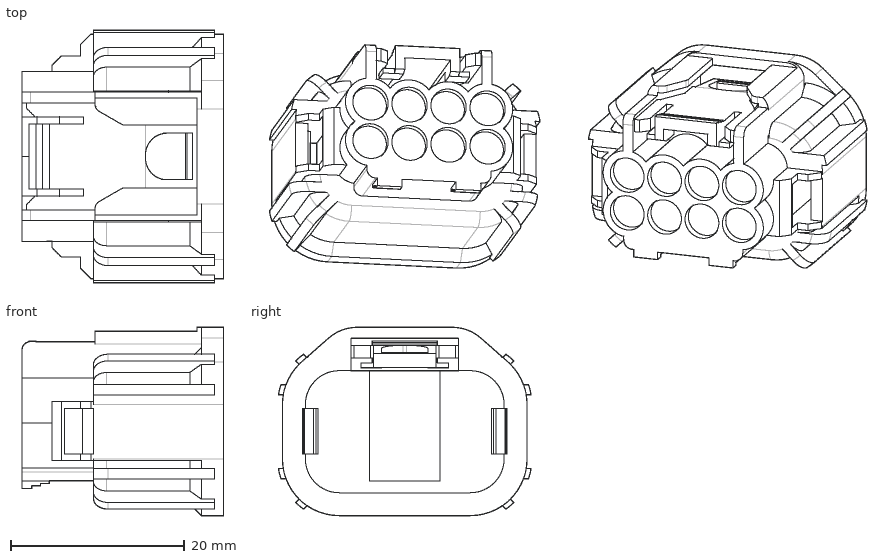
import cadquery as cq
import math


LENGTH = 23.25
SHOULDER_X = 8.25
RIM_X = 20.7
FIN_END_X = 22.2
RAIL_X = 8.42
BAR_X = 20.17

HALF_WIDTH = 14.1
CORNER_R = 6.55
LOWER_CORNER_Z = CORNER_R
UPPER_CORNER_Z = 12.83
CORNER_Y = HALF_WIDTH - CORNER_R
MID_Z = (LOWER_CORNER_Z + UPPER_CORNER_Z) / 2
BODY_INSET = 1.35
BODY_ROUND = 1.52
FIN_ROUND = 1.7
FIN_THICKNESS = 1.2
FIN_REACH = 11.65

TOP_Z = 21.75
ROOF_SLOPE = math.radians(41.5)

PITCH = 4.58
TUBE_R = 2.95
HOLE_R = 2.07
HOLE_DEPTH = 1.15
LOWER_ROW_Z = 8.4
ROW_Z = (LOWER_ROW_Z, LOWER_ROW_Z + PITCH)
COLUMN_Y = [PITCH * (i - 1.5) for i in range(4)]
BASE_Z = 4.02
BASE_HALF = 7.3
BASE_CORNER_R = 1.02
PAD_INNER_Y = 3.15
PAD_OUTER_Y = 6.05
PAD_STEPS = ((1.17, 3.12), (2.15, 3.45), (3.18, 3.7))

WALL_OUTER = 7.4
WALL_INNER = 6.18
ARCH_R = 1.92
ROOF_FLAT_HALF = WALL_OUTER - ARCH_R
FLOOR_Z = 16.73
UPRIGHT_Z = 20.08
UPRIGHT_ROUND = 1.0
RAIL_UNDER_Z = 20.45
RAIL_TOP_Z = 21.28
RAIL_GAP_HALF = 3.61
RAIL_CORNERS = ((RAIL_X, 5.48), (11.65, RAIL_GAP_HALF))
RAIL_CORNER_R = 1.0

PLATE_TOP_Z = 19.65
PLATE_UNDER_Z = 18.15
PLATE_FRONT_X = 0.52
PLATE_CORNER = 1.0
PLATE_OVERLAP = 0.35
TONGUE_FRONT_X = 0.82
TONGUE_HALF = 3.75
SLOT_OUTER = 4.58
SLOT_END_X = 7.08
RIDGE_WIDTH = 0.8
RIDGE_RISE = 0.17
RIDGE_COUNT = 3
LEG_UNDER_Z = 17.37
GROOVE_HALF = 2.68
GROOVE_TOP_Z = 18.75
CROSSBAR_X = (1.72, 4.3)
CROSSBAR_Z = (17.05, 17.65)
CROSSBAR_HALF = 5.07
TAIL_X = 14.25
TAIL_END_X = 20.52
TAIL_HALF = RAIL_GAP_HALF
TAIL_END_TOP_Z = 18.7
TAIL_UNDER_Z = 17.08
WINDOW_BACK_X = 19.03
WINDOW_BACK_LEAN = 0.17
WINDOW_R = 2.48
LEDGE_BACK_X = 19.68

GAP_X = 16.9
GAP_INSET = UPPER_CORNER_Z + CORNER_R - FLOOR_Z
CORE_HALF = 4.08
CORE_END_X = 21.85

TOTAL_WIDTH = 29.15
CLIP_Z = (6.35, 13.15)
PANEL_TOP_Z = 13.93
FIN_STANDOFF = math.hypot(TOTAL_WIDTH / 2 - CORNER_Y, PANEL_TOP_Z - UPPER_CORNER_Z) - CORNER_R
CLIP_FRONT_X = 3.47
CLIP_FRONT_BEVEL = 1.08
CLIP_SHOULDER_X = 6.73
CLIP_REAR_BEVEL = 1.22
CLIP_Y = 11.6
CLIP_WINDOW_Z = (7.15, 12.35)
CLIP_WINDOW_X = 4.93
CLIP_STEP_X = 7.0
CHANNEL_STEPS = ((CLIP_WINDOW_X, 10.52), (CLIP_STEP_X, 10.23), (SHOULDER_X, 10.03))
CHANNEL_OUTER_Y = 11.75
TOOTH_Y = 12.68
TOOTH_X = 11.65


def block(x, y, z):
    """Box from (low, high) pairs."""
    size = [high - low for low, high in (x, y, z)]
    return cq.Workplane("XY").box(*size, centered=False).translate((x[0], y[0], z[0]))


def both_sides(shape):
    return shape.union(shape.mirror("XZ"))


def hull(inset, x0, x1):
    """Rounded outline, moved inwards by `inset`, run from x0 to x1."""
    half = HALF_WIDTH - inset
    z_range = (LOWER_CORNER_Z - CORNER_R + inset, UPPER_CORNER_Z + CORNER_R - inset)
    return block((x0, x1), (-half, half), z_range).edges("|X").fillet(CORNER_R - inset)


def tube_cylinders(radius, depth):
    """One cylinder per tube, starting at the terminal face."""
    centres = [(y, z) for y in COLUMN_Y for z in ROW_Z]
    return [cq.Workplane("YZ").center(y, z).circle(radius).extrude(depth) for y, z in centres]


def make_tubes():
    fill_half = COLUMN_Y[-1]
    tubes = block((0, SHOULDER_X), (-fill_half, fill_half), ROW_Z)
    base = block((0, SHOULDER_X), (-BASE_HALF, BASE_HALF), (BASE_Z, ROW_Z[0]))
    tubes = tubes.union(base.edges("|X and <Z").fillet(BASE_CORNER_R))
    for cylinder in tube_cylinders(TUBE_R, SHOULDER_X):
        tubes = tubes.union(cylinder)
    for end_x, under_z in PAD_STEPS:
        tubes = tubes.union(both_sides(block((0, end_x), (PAD_INNER_Y, PAD_OUTER_Y), (under_z, BASE_Z))))
    return tubes


def make_body():
    body = hull(BODY_INSET, SHOULDER_X, LENGTH).faces("<X").edges().fillet(BODY_ROUND)
    flare = hull(0, RIM_X - BODY_INSET, LENGTH).faces("<X").chamfer(BODY_INSET)
    floor = block((SHOULDER_X, RIM_X), (-CORNER_Y, CORNER_Y), (UPPER_CORNER_Z, FLOOR_Z))
    trough = block((SHOULDER_X, RIM_X), (-CORNER_Y, CORNER_Y), (FLOOR_Z, TOP_Z))
    return body.union(flare).union(floor).cut(trough)


def make_roof():
    """Part of the rim that rises above the rounded outline, with sloping shoulders."""
    sin, cos = math.sin(ROOF_SLOPE), math.cos(ROOF_SLOPE)
    half_sin, half_cos = math.sin(ROOF_SLOPE / 2), math.cos(ROOF_SLOPE / 2)
    rise = (CORNER_Y - ROOF_FLAT_HALF) * sin + (UPPER_CORNER_Z - TOP_Z) * cos + CORNER_R
    roof_r = rise / (1 - cos)
    roof_z = TOP_Z - roof_r
    shoulder = (ROOF_FLAT_HALF + roof_r * sin, roof_z + roof_r * cos)
    shoulder_mid = (ROOF_FLAT_HALF + roof_r * half_sin, roof_z + roof_r * half_cos)
    eave = (CORNER_Y + CORNER_R * sin, UPPER_CORNER_Z + CORNER_R * cos)
    half_roof = (
        cq.Workplane("YZ", origin=(RIM_X, 0, 0))
        .moveTo(0, UPPER_CORNER_Z)
        .lineTo(0, TOP_Z)
        .lineTo(ROOF_FLAT_HALF, TOP_Z)
        .threePointArc(shoulder_mid, shoulder)
        .lineTo(*eave)
        .lineTo(CORNER_Y, UPPER_CORNER_Z)
        .close()
        .extrude(LENGTH - RIM_X)
    )
    return both_sides(half_roof)


def rail_gap_prism(end_x, z_range, margin=0.0):
    """Space between the two rails, wide at the front, widened by `margin` on each side."""
    one_side = [(x, y + margin) for x, y in (*RAIL_CORNERS, (end_x, RAIL_GAP_HALF))]
    other_side = [(x, -y) for x, y in reversed(one_side)]
    outline = cq.Workplane("XY", origin=(0, 0, z_range[0])).polyline(one_side + other_side).close()
    return outline.extrude(z_range[1] - z_range[0])


def make_arch():
    arch = block((RAIL_X, LENGTH), (-WALL_OUTER, WALL_OUTER), (ROW_Z[1], TOP_Z))
    arch = arch.edges("|X and >Z").fillet(ARCH_R)
    above_rails = block((RAIL_X, BAR_X), (-WALL_OUTER, WALL_OUTER), (RAIL_TOP_Z, TOP_Z))
    rail_gap = rail_gap_prism(BAR_X, (RAIL_UNDER_Z, TOP_Z))
    upright = block((0, RAIL_X), (WALL_INNER, WALL_OUTER), (ROW_Z[1], UPRIGHT_Z))
    upright = upright.edges("<X and >Z").fillet(UPRIGHT_ROUND)
    arch = arch.cut(above_rails).cut(rail_gap)
    for x, half_gap in RAIL_CORNERS:
        for y in (-half_gap, half_gap):
            corner = cq.selectors.BoxSelector((x - 0.3, y - 0.3, RAIL_UNDER_Z), (x + 0.3, y + 0.3, RAIL_TOP_Z))
            arch = arch.edges("|Z").edges(corner).fillet(RAIL_CORNER_R)
    return arch.union(both_sides(upright))


def make_latch():
    plate_z = (PLATE_UNDER_Z, PLATE_TOP_Z)
    plate = block((PLATE_FRONT_X, RAIL_X), (-WALL_INNER, WALL_INNER), plate_z)
    plate = plate.union(rail_gap_prism(TAIL_X, plate_z, PLATE_OVERLAP))
    mouth = (
        cq.Workplane("XY", origin=(0, 0, PLATE_UNDER_Z))
        .polyline([
            (PLATE_FRONT_X, -SLOT_OUTER - PLATE_CORNER),
            (PLATE_FRONT_X + PLATE_CORNER, -SLOT_OUTER),
            (SLOT_END_X, -SLOT_OUTER),
            (SLOT_END_X, SLOT_OUTER),
            (PLATE_FRONT_X + PLATE_CORNER, SLOT_OUTER),
            (PLATE_FRONT_X, SLOT_OUTER + PLATE_CORNER),
        ])
        .close()
        .extrude(PLATE_TOP_Z - PLATE_UNDER_Z)
    )
    tongue_y = (-TONGUE_HALF, TONGUE_HALF)
    latch = plate.cut(mouth)
    latch = latch.union(block((TONGUE_FRONT_X, SLOT_END_X), tongue_y, plate_z))
    for i in range(RIDGE_COUNT):
        ridge_x = (TONGUE_FRONT_X, TONGUE_FRONT_X + RIDGE_WIDTH * (i + 1))
        ridge_top = PLATE_TOP_Z + RIDGE_RISE * (RIDGE_COUNT - i)
        latch = latch.union(block(ridge_x, tongue_y, (PLATE_TOP_Z, ridge_top)))
    legs = (
        cq.Workplane("XZ", origin=(0, TONGUE_HALF, 0))
        .polyline([
            (TONGUE_FRONT_X, PLATE_UNDER_Z),
            (TONGUE_FRONT_X, LEG_UNDER_Z),
            (CROSSBAR_X[0], CROSSBAR_Z[0]),
            (CROSSBAR_X[1], CROSSBAR_Z[0]),
            (CROSSBAR_X[1], PLATE_UNDER_Z),
        ])
        .close()
        .extrude(2 * TONGUE_HALF)
    )
    latch = latch.union(legs)
    latch = latch.union(block(CROSSBAR_X, (-CROSSBAR_HALF, CROSSBAR_HALF), CROSSBAR_Z))

    tail = (
        cq.Workplane("XZ", origin=(0, TAIL_HALF, 0))
        .polyline([
            (TAIL_X, PLATE_UNDER_Z),
            (WINDOW_BACK_X, TAIL_UNDER_Z),
            (TAIL_END_X, TAIL_UNDER_Z),
            (TAIL_END_X, TAIL_END_TOP_Z),
            (TAIL_X, PLATE_TOP_Z),
        ])
        .close()
        .extrude(2 * TAIL_HALF)
    )
    groove_y = (-GROOVE_HALF, GROOVE_HALF)
    window = block((TAIL_X, WINDOW_BACK_X), groove_y, (GROOVE_TOP_Z, PLATE_TOP_Z))
    window = window.edges("|Z and <X").fillet(WINDOW_R)
    ledge = block((WINDOW_BACK_X, LEDGE_BACK_X), groove_y, (GROOVE_TOP_Z, PLATE_TOP_Z))
    groove = (
        cq.Workplane("XZ", origin=(0, GROOVE_HALF, 0))
        .polyline([
            (TONGUE_FRONT_X, CROSSBAR_Z[0]),
            (WINDOW_BACK_X - WINDOW_BACK_LEAN, CROSSBAR_Z[0]),
            (WINDOW_BACK_X, GROOVE_TOP_Z),
            (TONGUE_FRONT_X, GROOVE_TOP_Z),
        ])
        .close()
        .extrude(2 * GROOVE_HALF)
    )
    return latch.union(tail).cut(window).cut(ledge).cut(groove)


def make_fins():
    fins_outline = hull(-FIN_STANDOFF, SHOULDER_X, FIN_END_X)
    rounded = fins_outline.faces("<X").edges().fillet(FIN_ROUND)
    fin_x = (SHOULDER_X, FIN_END_X)

    diagonal = block(fin_x, (0, FIN_REACH), (0, FIN_THICKNESS))
    upper = diagonal.rotate((0, 0, 0), (1, 0, 0), 45).translate((0, CORNER_Y, UPPER_CORNER_Z))
    lower = upper.mirror("XY", (0, 0, MID_Z))

    flat_y = (CORNER_Y, HALF_WIDTH + FIN_STANDOFF)
    flat_upper = block(fin_x, flat_y, (PANEL_TOP_Z, PANEL_TOP_Z + FIN_THICKNESS))
    flat_lower = flat_upper.mirror("XY", (0, 0, MID_Z))

    rounded_fins = rounded.intersect(both_sides(upper.union(lower).union(flat_lower)))
    return rounded_fins.union(fins_outline.intersect(both_sides(flat_upper)))


def make_side_panels():
    panel = block((SHOULDER_X, LENGTH), (CORNER_Y, HALF_WIDTH), (CLIP_Z[0], PANEL_TOP_Z))
    panel = panel.intersect(hull(0, SHOULDER_X, LENGTH))
    clip = (
        cq.Workplane("XY", origin=(0, 0, CLIP_Z[0]))
        .polyline([
            (CLIP_FRONT_X, CORNER_Y),
            (CLIP_FRONT_X, CLIP_Y - CLIP_FRONT_BEVEL),
            (CLIP_FRONT_X + CLIP_FRONT_BEVEL, CLIP_Y),
            (CLIP_SHOULDER_X, CLIP_Y),
            (CLIP_SHOULDER_X, HALF_WIDTH - CLIP_REAR_BEVEL),
            (CLIP_SHOULDER_X + CLIP_REAR_BEVEL, HALF_WIDTH),
            (SHOULDER_X, HALF_WIDTH),
            (SHOULDER_X, CORNER_Y),
        ])
        .close()
        .extrude(CLIP_Z[1] - CLIP_Z[0])
    )
    return both_sides(panel.union(clip))


def make_side_channels():
    window_y = (CHANNEL_STEPS[0][1], HALF_WIDTH)
    channels = block((CLIP_WINDOW_X, SHOULDER_X), window_y, CLIP_WINDOW_Z)
    for start_x, inner_y in CHANNEL_STEPS:
        channels = channels.union(block((start_x, LENGTH), (inner_y, CHANNEL_OUTER_Y), CLIP_WINDOW_Z))
    entry = block((SHOULDER_X, TOOTH_X), (CHANNEL_OUTER_Y, TOOTH_Y), CLIP_WINDOW_Z)
    return both_sides(channels.union(entry))


def make_mating_gap():
    """Ring-shaped recess, open at the rim, around the central core."""
    core = block((GAP_X, CORE_END_X), (-CORE_HALF, CORE_HALF), (BASE_Z, FLOOR_Z))
    return hull(GAP_INSET, GAP_X, LENGTH).cut(core)


latch_opening = block((RAIL_X, LENGTH), (-WALL_INNER, WALL_INNER), (FLOOR_Z, RAIL_UNDER_Z))
result = (
    make_body()
    .union(make_roof())
    .union(make_arch())
    .cut(latch_opening)
    .union(make_tubes())
    .union(make_fins())
    .union(make_side_panels())
    .cut(make_mating_gap())
    .cut(make_side_channels())
    .union(make_latch())
)
for bore in tube_cylinders(HOLE_R, HOLE_DEPTH):
    result = result.cut(bore)